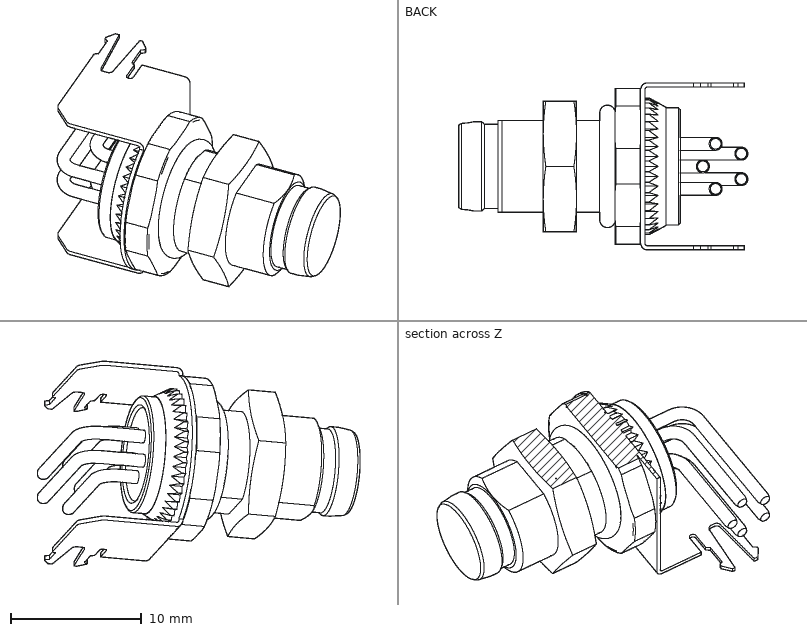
import cadquery as cq
import math


overall_length = 22.15

pin_radius = 0.498
pin_bend_radius = 1.5
pin_tip_length = 0.3
pin_tip_inset = 0.09
pin_embed = 0.45
pin_outer_rear = -7.7
pin_middle_rear = -5.74
pin_centre_rear = -4.76
long_tip = 9.64
short_tip = 9.48
pins = [
    (pin_outer_rear, -1.45, 0.97, long_tip),
    (pin_outer_rear, -1.45, -0.97, long_tip),
    (pin_middle_rear, 0.38, 1.73, short_tip),
    (pin_middle_rear, 0.38, -1.73, short_tip),
    (pin_centre_rear, 1.28, 0, long_tip),
]

sheet = 0.33
bend_outer_radius = 0.5
bracket_half_height = 6.4
bracket_rear = -7.93
bracket_bottom = -2.55
bracket_top = 6.31
plate_radius = 6.31
corner_chamfer = 1.57
corner_radius = 0.66

prong_half_width = 1.68
prong_tip = 9.02
rear_tip_offset = 1.2
front_tip_offset = 1.09
barb_top = 8.3
barb_bottom = 8.13
neck_top = 7.95
neck_bottom = 6.3
shoulder = 6.07
neck_inset = 0.29
gap_bottom = 4.4
gap_bottom_half_width = 0.47
gap_top_half_width = 0.86
gap_radius = 0.35
relief_width = 0.53
relief_radius = 0.25

flange_radius = 6.27
flange_flat = 5.98
flange_length = 1.97
flange_end_radius = 6.07
flange_chamfer_length = 0.07
thread_radius = 4.0
thread_flat = 3.52
thread_chamfer_start = 10.63
thread_end = 10.95
thread_end_radius = 3.5
neck_radius = 3.23
ring_start = 11.95
ring_crest_start = 12.18
ring_crest_end = 12.74
ring_radius = 3.43
ring_taper_end = 13.7
ring_taper_radius = 3.3
front_end = overall_length + pin_outer_rear - pin_radius
front_end_radius = 3.17

oring_section_radius = 0.6
oring_radius = 4.1
oring_squeeze = 0.02
nut_start = 4.92
nut_length = 2.55
nut_flat = 5.0
nut_chamfer_length = 0.2

bushing_rear = -3.03
bushing_radius = 4.5
bushing_edge_chamfer = 0.15
cone_start = -1.93
cone_start_radius = 4.55
cone_end = -0.65
knurl_radius = 5.25
knurl_depth = 0.38
knurl_count = 40
recess_radius = 3.79
recess_floor_radius = 3.59
recess_depth = 0.22


def revolve_about_x(profile):
    """Solid of revolution from (x, radius) points; both ends close on the axis."""
    closed = [(profile[0][0], 0)] + profile + [(profile[-1][0], 0)]
    return cq.Workplane("XY").polyline(closed).close().revolve(360, (0, 0), (1, 0))


def hexagon(start, length, flat_distance):
    """Hexagonal prism along X with flats facing +Z and -Z."""
    corner_diameter = 2 * flat_distance / math.cos(math.pi / 6)
    return cq.Workplane("YZ").workplane(offset=start).polygon(6, corner_diameter).extrude(length)


def chamfered_hexagon(start, length, flat_distance, outer_radius, end_radius, chamfer_length):
    """Hexagonal prism whose corners are turned round and coned off at both ends."""
    end = start + length
    envelope = revolve_about_x([
        (start, end_radius),
        (start + chamfer_length, outer_radius),
        (end - chamfer_length, outer_radius),
        (end, end_radius),
    ])
    return hexagon(start, length, flat_distance).intersect(envelope)


def make_channel():
    """U-shaped sheet, open toward -X, running the full length of the prongs."""
    length = prong_tip - bracket_bottom

    def bent_block(front, half_height, radius):
        block = cq.Workplane("XY").box(
            front - bracket_rear, length, 2 * half_height, centered=(False, False, True)
        )
        block = block.translate((bracket_rear, bracket_bottom, 0))
        return block.edges("|Y and >X").fillet(radius)

    outer = bent_block(0, bracket_half_height, bend_outer_radius)
    inner = bent_block(-sheet, bracket_half_height - sheet, bend_outer_radius - sheet)
    return outer.cut(inner)


def make_side_outline():
    """Prism with the outline of a bracket side, tall enough for both sides."""
    centre = bracket_rear + prong_half_width
    relief_start = centre + prong_half_width
    relief_end = relief_start + relief_width

    def prong_edge(side, tip_offset):
        offsets = [
            (prong_half_width, shoulder),
            (prong_half_width - neck_inset, neck_bottom),
            (prong_half_width - neck_inset, neck_top),
            (prong_half_width, barb_bottom),
            (prong_half_width, barb_top),
            (tip_offset, prong_tip),
        ]
        return [(centre + side * offset, y) for offset, y in offsets]

    outline = [(bracket_rear + corner_chamfer, bracket_bottom)]
    outline += [(bracket_rear, bracket_bottom + corner_chamfer)]
    outline += prong_edge(-1, rear_tip_offset)
    outline += prong_edge(1, front_tip_offset)[::-1]
    outline += [(relief_start, gap_bottom), (relief_end, gap_bottom)]
    outline += [(relief_end, bracket_top), (0, bracket_top), (0, bracket_bottom)]

    prism = cq.Workplane("XY").polyline(outline).close().extrude(bracket_half_height, both=True)
    for x, y in outline[:2]:
        prism = prism.edges(cq.NearestToPointSelector((x, y, 0))).fillet(corner_radius)
    for x in (relief_start, relief_end):
        prism = prism.edges(cq.NearestToPointSelector((x, gap_bottom, 0))).fillet(relief_radius)

    gap = (
        cq.Workplane("XY")
        .polyline([
            (centre - gap_bottom_half_width, gap_bottom),
            (centre + gap_bottom_half_width, gap_bottom),
            (centre + gap_top_half_width, prong_tip),
            (centre - gap_top_half_width, prong_tip),
        ])
        .close()
        .extrude(bracket_half_height, both=True)
        .edges("|Z and <Y")
        .fillet(gap_radius)
    )
    return prism.cut(gap)


def make_bracket():
    half_chord = math.sqrt(plate_radius**2 - bracket_bottom**2)
    segment = (
        cq.Workplane("YZ")
        .moveTo(bracket_bottom, half_chord)
        .threePointArc((-plate_radius, 0), (bracket_bottom, -half_chord))
        .close()
        .extrude(-sheet)
    )
    return make_channel().intersect(make_side_outline()).union(segment)


def make_flange():
    return chamfered_hexagon(
        0, flange_length, flange_flat, flange_radius, flange_end_radius, flange_chamfer_length
    )


def make_threaded_body():
    thread = revolve_about_x([
        (0, thread_radius),
        (thread_chamfer_start, thread_radius),
        (thread_end, thread_end_radius),
    ])
    flats = cq.Workplane("XY").box(
        thread_end, 2 * thread_radius, 2 * thread_flat, centered=(False, True, True)
    )
    front = revolve_about_x([
        (0, neck_radius),
        (ring_start, neck_radius),
        (ring_crest_start, ring_radius),
        (ring_crest_end, ring_radius),
        (ring_taper_end, ring_taper_radius),
        (front_end, front_end_radius),
    ])
    return thread.intersect(flats).union(front)


def make_oring():
    centre_x = flange_length - oring_squeeze + oring_section_radius
    return (
        cq.Workplane("XY")
        .center(centre_x, oring_radius)
        .circle(oring_section_radius)
        .revolve(360, (0, -oring_radius), (1, -oring_radius))
    )


def make_nut():
    nut_corner = nut_flat / math.cos(math.pi / 6)
    return chamfered_hexagon(
        nut_start, nut_length, nut_flat, nut_corner, nut_flat, nut_chamfer_length
    )


def make_bushing():
    bushing = revolve_about_x([
        (bushing_rear, bushing_radius - bushing_edge_chamfer),
        (bushing_rear + bushing_edge_chamfer, bushing_radius),
        (cone_start, bushing_radius),
        (cone_start, cone_start_radius),
        (cone_end, knurl_radius),
        (0, knurl_radius),
    ])
    recess = revolve_about_x([
        (bushing_rear, recess_radius),
        (bushing_rear + recess_depth, recess_floor_radius),
    ])
    bushing = bushing.cut(recess)

    root_radius = knurl_radius - knurl_depth
    mouth_radius = knurl_radius + knurl_depth
    mouth_half_width = 2 * math.pi / knurl_count * knurl_radius
    groove = (
        cq.Workplane("YZ")
        .workplane(offset=cone_start)
        .polyline([(root_radius, 0), (mouth_radius, mouth_half_width), (mouth_radius, -mouth_half_width)])
        .close()
        .extrude(-sheet - cone_start)
        .val()
    )
    pitch = 360 / knurl_count
    grooves = [groove.rotate((0, 0, 0), (1, 0, 0), i * pitch) for i in range(knurl_count)]
    return cq.Workplane(bushing.val().cut(*grooves))


def make_pin(rear, entry_y, z, tip_y):
    """Round pin leaving the bushing along -X and bending up to +Y."""
    entry_x = bushing_rear + recess_depth + pin_embed
    bend_offset = pin_bend_radius * (1 - math.sqrt(0.5))
    path = (
        cq.Workplane("XY", origin=(0, 0, z))
        .moveTo(entry_x, entry_y)
        .lineTo(rear + pin_bend_radius, entry_y)
        .threePointArc((rear + bend_offset, entry_y + bend_offset), (rear, entry_y + pin_bend_radius))
        .lineTo(rear, tip_y)
    )
    pin = cq.Workplane("YZ", origin=(entry_x, entry_y, z)).circle(pin_radius).sweep(path)
    return pin.faces(">Y").chamfer(pin_tip_length, pin_tip_inset)


result = make_bracket()
for component in (make_flange(), make_threaded_body(), make_oring(), make_nut(), make_bushing()):
    result = result.union(component)
for pin in pins:
    result = result.union(make_pin(*pin))